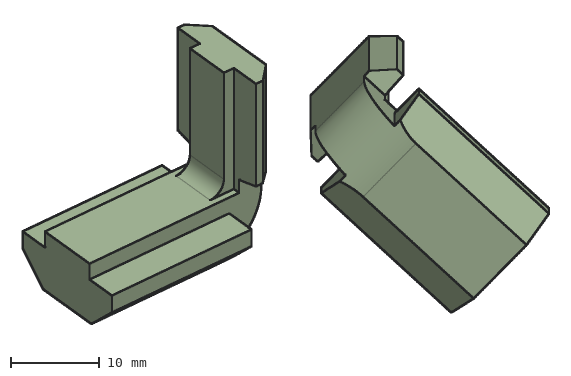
import cadquery as cq

length = 25.0
height = 25.0
web_width = 8.0
corner_radius = 7.75

foot_width = 16.0
foot_base_width = 8.65
foot_bevel_height = 3.65
foot_flange_top = 6.0
foot_top = 8.2
foot_flange_length = 20.3

upright_width = 14.0
upright_back_width = 9.6
upright_stem_width = 6.1
upright_front = foot_flange_length
flange_front = 21.75
bevel_front = 22.75
flange_end_z = 10.75
flange_root_z = 10.0
inner_radius = 2.0


def mirrored_profile(plane, half_points):
    """Close a profile given by its right-hand half, symmetric about X = 0."""
    left_half = [(-x, v) for x, v in reversed(half_points)]
    return cq.Workplane(plane).polyline(half_points + left_half).close()


def make_foot():
    half = [
        (foot_base_width / 2, 0),
        (foot_width / 2, foot_bevel_height),
        (foot_width / 2, foot_flange_top),
        (web_width / 2, foot_flange_top),
        (web_width / 2, foot_top),
    ]
    return mirrored_profile("XZ", half).extrude(-foot_flange_length)


def make_corner_web():
    """Web below the upright, continuing the stem of the foot to the back."""
    return (
        cq.Workplane("YZ")
        .lineTo(length, 0)
        .lineTo(length, flange_root_z)
        .lineTo(flange_front, flange_root_z)
        .lineTo(flange_front, foot_top)
        .lineTo(0, foot_top)
        .close()
        .extrude(web_width / 2, both=True)
    )


def make_upright_flange():
    half = [
        (upright_width / 2, flange_front),
        (upright_width / 2, bevel_front),
        (upright_back_width / 2, length),
    ]
    flange = mirrored_profile("XY", half).extrude(height)
    end_half = [
        (web_width / 2, flange_root_z),
        (upright_width / 2, flange_end_z),
        (upright_width / 2, height),
    ]
    end_shape = mirrored_profile("XZ", end_half).extrude(-length)
    return flange.intersect(end_shape)


def make_upright_stem():
    """Stem in front of the flange, with a concave fillet down to the foot."""
    return (
        cq.Workplane("YZ")
        .moveTo(flange_front, foot_top)
        .lineTo(flange_front, height)
        .lineTo(upright_front, height)
        .lineTo(upright_front, foot_top + inner_radius)
        .radiusArc((upright_front - inner_radius, foot_top), inner_radius)
        .close()
        .extrude(upright_stem_width / 2, both=True)
    )


def make_rounded_envelope():
    """Overall block with the round outer corner shared by the foot and the web."""
    block = cq.Workplane("XY").box(foot_width, length, height, centered=(True, False, False))
    return block.edges("|X and >Y and <Z").fillet(corner_radius)


result = (
    make_foot()
    .union(make_corner_web())
    .union(make_upright_flange())
    .union(make_upright_stem())
    .intersect(make_rounded_envelope())
)